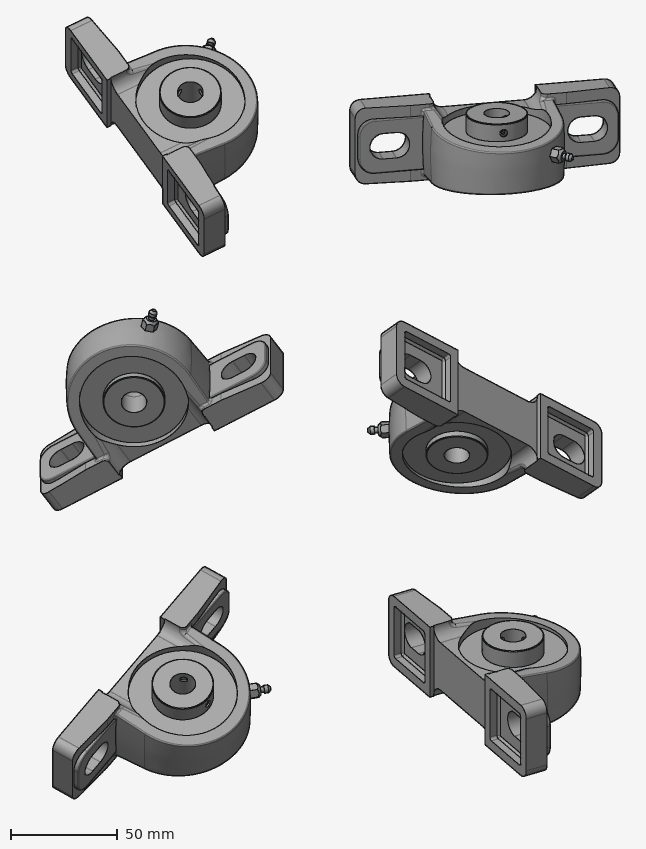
import cadquery as cq
import math

LENGTH = 127.0
THICKNESS = 38.0
BORE_HEIGHT = 30.2
MARGIN = 0.1
MOUNT_Y = -BORE_HEIGHT

FOOT_LENGTH = 38.1
FOOT_INNER_X = LENGTH / 2 - FOOT_LENGTH
FOOT_CORNER_RADIUS = 5.0
FOOT_OUTER_HEIGHT = 11.3
FOOT_INNER_HEIGHT = 13.2
FOOT_LEVEL_END_X = 37.5
FOOT_RELIEF = 2.3
RELIEF_Y = MOUNT_Y + FOOT_RELIEF

PAD_END_X = 62.4
PAD_HALF_WIDTH = 13.3
PAD_CORNER_RADIUS = 7.6
PAD_HEIGHT = 14.0
PAD_EDGE_RADIUS = 0.5

SLOT_CENTRE_X = 47.5
SLOT_LENGTH = 19.0
SLOT_WIDTH = 12.7
POCKET_LENGTH = 28.3
POCKET_WIDTH = 28.0
POCKET_CENTRE_X = 44.2
POCKET_DEPTH = 5.0
POCKET_FLOOR_CHAMFER = 1.1
POCKET_CORNER_RADIUS = 1.3

HOUSING_RADIUS = 31.8
CROWN_HALF_THICKNESS = 10.4
TAPER = 0.12
RIM_RADIUS = 0.6
BLEND_RADIUS = 1.1
WALL_SAG = 0.9

WAIST_HALF_THICKNESS = 12.8
WAIST_FLAT_HALF_LENGTH = 19.5
WAIST_FILLET = 6.2
WAIST_EDGE_RADIUS = 2.5

BEARING_RADIUS = 25.5
BEARING_HALF_THICKNESS = 9.5
COLLAR_RADIUS = 14.5
COLLAR_TOP_Z = 18.3
COLLAR_BOTTOM_Z = -12.7
COLLAR_CHAMFER = 0.4
BORE_RADIUS = 6.0

SCREW_Z = 13.6
SCREW_RADIUS = 1.8
SCREW_ANGLES = (90, 210)
SCREW_RECESS = 0.9
SOCKET_DIAMETER = 2.0
SOCKET_DEPTH = 1.9

NIPPLE_ANGLE = 135
NIPPLE_Z = 4.2
HEX_DIAMETER = 7.6
HEX_START = 29.2
HEX_SHOULDER = 35.0
HEX_END = 36.8
HEX_END_RADIUS = 2.4
NECK_RADIUS = 1.4
HEAD_START = 38.6
HEAD_SHOULDER = 40.5
HEAD_RADIUS = 1.9
TIP_END = 41.8
TIP_RADIUS = 0.9

SIDES = (-1, 1)


def half_thickness(y):
    """Half thickness of the tapered housing at a given Y."""
    return CROWN_HALF_THICKNESS + TAPER * (HOUSING_RADIUS - y)


def wall_section():
    """Half cross-section of the housing, its outer wall slightly barrelled."""
    half = THICKNESS / 2
    edge = HOUSING_RADIUS - WALL_SAG
    return (
        cq.Workplane("XZ")
        .moveTo(0, -half)
        .lineTo(edge, -half)
        .threePointArc((HOUSING_RADIUS, 0), (edge, half))
        .lineTo(0, half)
        .close()
    )


def housing():
    """Round-topped body trimmed to the taper."""
    leg = wall_section().extrude(-RELIEF_Y)
    round_top = wall_section().revolve(180, (0, 0, 0), (0, 1, 0))
    outline = round_top.union(leg).union(leg.mirror("YZ"))
    low = half_thickness(RELIEF_Y)
    high = CROWN_HALF_THICKNESS
    wedge = (
        cq.Workplane("YZ", origin=(-LENGTH / 2, 0, 0))
        .polyline([(RELIEF_Y, -low), (RELIEF_Y, low), (HOUSING_RADIUS, high), (HOUSING_RADIUS, -high)])
        .close()
        .extrude(LENGTH)
    )
    return outline.intersect(wedge)


def base():
    """Bar with both feet, sloping down towards its ends and relieved between the feet."""
    outer = LENGTH / 2
    end_y = MOUNT_Y + FOOT_OUTER_HEIGHT
    inner_y = MOUNT_Y + FOOT_INNER_HEIGHT
    inner = FOOT_INNER_X
    level = FOOT_LEVEL_END_X
    return (
        cq.Workplane("XY", origin=(0, 0, -THICKNESS / 2))
        .polyline([
            (-outer, MOUNT_Y), (-outer, end_y), (-level, inner_y), (level, inner_y),
            (outer, end_y), (outer, MOUNT_Y), (inner, MOUNT_Y), (inner, RELIEF_Y),
            (-inner, RELIEF_Y), (-inner, MOUNT_Y),
        ])
        .close()
        .extrude(THICKNESS)
        .edges("|Y and (<X or >X)")
        .fillet(FOOT_CORNER_RADIUS)
    )


def pads():
    """Flat seats around the slots, joined behind the housing walls."""
    return (
        cq.Workplane("XZ", origin=(0, RELIEF_Y, 0))
        .rect(2 * PAD_END_X, 2 * PAD_HALF_WIDTH)
        .extrude(FOOT_RELIEF - PAD_HEIGHT)
        .edges("|Y")
        .fillet(PAD_CORNER_RADIUS)
        .faces(">Y")
        .edges()
        .fillet(PAD_EDGE_RADIUS)
    )


def edges_between(y_low, y_high):
    """Selector for housing edges lying wholly between two heights."""
    reach = HOUSING_RADIUS + MARGIN
    return cq.selectors.BoxSelector(
        (-reach, y_low - MARGIN, -half_thickness(y_low) - MARGIN),
        (reach, y_high + MARGIN, half_thickness(y_low) + MARGIN),
        boundingbox=True,
    )


def casting():
    """Housing on its feet and pads, with rounded rims and blended inside corners."""
    foot_top = MOUNT_Y + FOOT_INNER_HEIGHT
    on_feet_edges = edges_between(foot_top, foot_top)
    tangent_lines = edges_between(0, 0)
    rims = edges_between(foot_top, HOUSING_RADIUS) - on_feet_edges - tangent_lines
    blended = base().union(housing()).edges(rims).fillet(RIM_RADIUS)
    blended = blended.edges(on_feet_edges).fillet(BLEND_RADIUS)
    return blended.union(pads())


def waist_cutter(side):
    """Material above (side 1) or below (side -1) the waist, with its corner fillets."""
    flat = WAIST_FLAT_HALF_LENGTH
    wall = flat + WAIST_FILLET
    near = side * WAIST_HALF_THICKNESS
    tangent = side * (WAIST_HALF_THICKNESS + WAIST_FILLET)
    far = side * THICKNESS
    lean = WAIST_FILLET * math.sqrt(0.5)
    bend_x = flat + lean
    bend_z = tangent - side * lean
    return (
        cq.Workplane("XZ", origin=(0, RELIEF_Y, 0))
        .moveTo(-flat, near)
        .lineTo(flat, near)
        .threePointArc((bend_x, bend_z), (wall, tangent))
        .lineTo(wall, far)
        .lineTo(-wall, far)
        .lineTo(-wall, tangent)
        .threePointArc((-bend_x, bend_z), (-flat, near))
        .close()
        .extrude(-BORE_HEIGHT)
    )


def waist_edges(side_x, side_z):
    """Selector for the edge where a waist fillet runs out through the housing face."""
    flat = WAIST_FLAT_HALF_LENGTH
    start = MOUNT_Y + FOOT_INNER_HEIGHT - MARGIN
    return cq.selectors.BoxSelector(
        (side_x * flat, start, side_z * WAIST_HALF_THICKNESS),
        (side_x * (flat + WAIST_FILLET), -MARGIN, side_z * THICKNESS / 2),
        boundingbox=True,
    )


def pocket(side):
    """Recess under one foot, chamfered around its floor."""
    return (
        cq.Workplane("XZ", origin=(side * POCKET_CENTRE_X, MOUNT_Y, 0))
        .rect(POCKET_LENGTH, POCKET_WIDTH)
        .extrude(-POCKET_DEPTH)
        .edges("|Y")
        .fillet(POCKET_CORNER_RADIUS)
        .faces(">Y")
        .chamfer(POCKET_FLOOR_CHAMFER)
    )


def slot(side):
    """Bolt slot through one foot."""
    return (
        cq.Workplane("XZ", origin=(side * SLOT_CENTRE_X, MOUNT_Y, 0))
        .slot2D(SLOT_LENGTH, SLOT_WIDTH)
        .extrude(-BORE_HEIGHT)
    )


def bearing_recess(side):
    """Space beside the bearing, open to the outside."""
    start = side * BEARING_HALF_THICKNESS
    return cq.Workplane("XY", origin=(0, 0, start)).circle(BEARING_RADIUS).extrude(side * THICKNESS)


def collar():
    """Inner ring standing out on both sides of the bearing."""
    return (
        cq.Workplane("XY", origin=(0, 0, COLLAR_BOTTOM_Z))
        .circle(COLLAR_RADIUS)
        .extrude(COLLAR_TOP_Z - COLLAR_BOTTOM_Z)
        .faces("<Z or >Z")
        .chamfer(COLLAR_CHAMFER)
    )


def radial_plane(angle, distance, z):
    """Workplane facing outwards from the bore axis."""
    direction = (math.cos(math.radians(angle)), math.sin(math.radians(angle)), 0)
    origin = (distance * direction[0], distance * direction[1], z)
    return cq.Workplane(cq.Plane(origin=origin, xDir=(0, 0, 1), normal=direction))


def set_screw_recess(angle):
    """Mouth of a set screw hole with the hexagon socket behind it, and its opening in the bore."""
    seat = COLLAR_RADIUS - SCREW_RECESS
    mouth = radial_plane(angle, seat, SCREW_Z).circle(SCREW_RADIUS).extrude(2 * SCREW_RECESS)
    socket = radial_plane(angle, seat, SCREW_Z).polygon(6, SOCKET_DIAMETER).extrude(-SOCKET_DEPTH)
    inner_end = radial_plane(angle, 0, SCREW_Z).circle(SCREW_RADIUS).extrude(BORE_RADIUS + SCREW_RECESS)
    return mouth.union(socket).union(inner_end)


def turned(points):
    """Solid of revolution about the nipple axis from (distance, radius) points."""
    start = points[0][0]
    end = points[-1][0]
    profile = cq.Workplane("XY").polyline([(start, 0)] + points + [(end, 0)]).close()
    solid = profile.revolve(360, (0, 0, 0), (1, 0, 0))
    return solid.rotate((0, 0, 0), (0, 0, 1), NIPPLE_ANGLE).translate((0, 0, NIPPLE_Z))


def grease_nipple():
    """Hexagon body with a coned end, a neck and a pointed head."""
    hexagon = (
        radial_plane(NIPPLE_ANGLE, HEX_START, NIPPLE_Z)
        .transformed(rotate=(0, 0, 90))
        .polygon(6, HEX_DIAMETER)
        .extrude(HEX_END - HEX_START)
    )
    hex_radius = HEX_DIAMETER / 2
    cone = turned([(HEX_START, hex_radius), (HEX_SHOULDER, hex_radius), (HEX_END, HEX_END_RADIUS)])
    head = turned([
        (HEX_SHOULDER, NECK_RADIUS), (HEAD_START, NECK_RADIUS), (HEAD_START, HEAD_RADIUS),
        (HEAD_SHOULDER, HEAD_RADIUS), (TIP_END, TIP_RADIUS),
    ])
    return hexagon.intersect(cone).union(head)


body = casting()
for side in SIDES:
    body = body.cut(waist_cutter(side)).cut(bearing_recess(side))
for side_x in SIDES:
    for side_z in SIDES:
        body = body.edges(waist_edges(side_x, side_z)).fillet(WAIST_EDGE_RADIUS)
for side in SIDES:
    body = body.cut(pocket(side)).cut(slot(side))

body = body.union(grease_nipple()).union(collar())
body = body.cut(cq.Workplane("XY").circle(BORE_RADIUS).extrude(2 * THICKNESS, both=True))
for angle in SCREW_ANGLES:
    body = body.cut(set_screw_recess(angle))

result = body